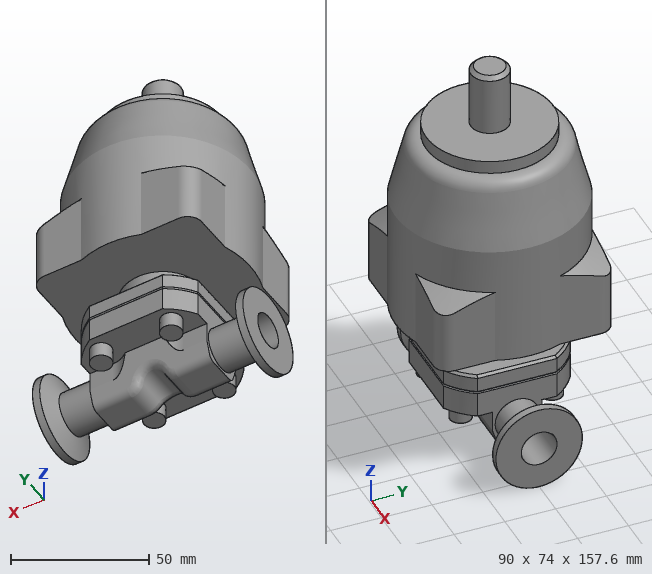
import cadquery as cq
import math


overall_height = 157.6
length = 90.0
bore_dia = 14.0
pipe_dia = 17.3
ferrule_dia = 34.0
ferrule_rim = 3.2
ferrule_cone = 3.0
bore_end_x = 11.0

plate_width = 50.0
plate_corner_dia = 59.0
plate_bottom_z = 5.7
plate_top_z = 15.6
diaphragm_thickness = 1.0
clamp_height = 6.8
clamp_chamfer = 1.0

body_bottom_z = -10.0
flank_lean = 18.0
flank_bottom_fillet = 3.3
notch_peak_z = -3.0
notch_crest_radius = 5.0
notch_foot_radius = 5.7

screw_dia = 8.5
screw_x = 15.0
screw_y = 18.0
screw_bottom_z = -0.5
pocket_wall_y = 9.8
pocket_radius = 10.0
pocket_bottom_z = -2.4

neck_dia = 33.0
neck_height = 12.8
housing_dia = 74.0
housing_height = 47.9
shoulder_height = 22.4
shoulder_top_dia = 62.7
shoulder_fillet = 5.7
lug_height = 30.3
lug_span = 69.5
lug_corner_radius = 6.0
lug_top_slope = 30.0
cap_dia = 50.0
cap_height = 5.2
stem_dia = 15.0
stem_top_z = overall_height - ferrule_dia / 2
stem_chamfer = 1.5

diaphragm_top_z = plate_top_z + diaphragm_thickness
clamp_top_z = diaphragm_top_z + clamp_height
housing_bottom_z = clamp_top_z + neck_height
shoulder_bottom_z = housing_bottom_z + housing_height
shoulder_taper = (housing_dia - shoulder_top_dia) / 2 / shoulder_height
rounding_height = shoulder_fillet * (1 - math.sin(math.atan(shoulder_taper)))
shell_top_z = shoulder_bottom_z + shoulder_height + rounding_height
cap_top_z = shell_top_z + cap_height


def disc(diameter, bottom_z, top_z):
    return cq.Workplane("XY").workplane(offset=bottom_z).circle(diameter / 2).extrude(top_z - bottom_z)


def trimmed_square(bottom_z, top_z):
    """Square plate whose corners are cut off by a circle around Z."""
    height = top_z - bottom_z
    square = cq.Workplane("XY").workplane(offset=bottom_z).rect(plate_width, plate_width).extrude(height)
    return square.intersect(disc(plate_corner_dia, bottom_z, top_z))


def weir_notch():
    """Hump-shaped groove along Y: a round crest that meets the bottom in two tangent foot arcs."""
    crest_z = notch_peak_z - notch_crest_radius
    foot_z = body_bottom_z + notch_foot_radius
    centre_distance = notch_crest_radius + notch_foot_radius
    foot_x = math.sqrt(centre_distance ** 2 - (foot_z - crest_z) ** 2)
    tangent_x = foot_x * notch_crest_radius / centre_distance
    tangent_z = crest_z + (foot_z - crest_z) * notch_crest_radius / centre_distance
    foot_start_angle = math.atan2(foot_z - crest_z, foot_x)
    foot_middle_angle = (foot_start_angle + math.pi / 2) / 2
    middle_x = foot_x - notch_foot_radius * math.cos(foot_middle_angle)
    middle_z = foot_z - notch_foot_radius * math.sin(foot_middle_angle)
    return (
        cq.Workplane("XZ")
        .moveTo(-foot_x, body_bottom_z)
        .threePointArc((-middle_x, middle_z), (-tangent_x, tangent_z))
        .threePointArc((0, notch_peak_z), (tangent_x, tangent_z))
        .threePointArc((middle_x, middle_z), (foot_x, body_bottom_z))
        .close()
        .extrude(plate_width / 2, both=True)
    )


def body_core():
    """Block under the plate: leaning flanks, a notched bottom and rounded lower edges."""
    lean = math.tan(math.radians(flank_lean))
    bottom_y = pocket_wall_y + (body_bottom_z - pocket_bottom_z) * lean
    top_y = pocket_wall_y + (plate_bottom_z - pocket_bottom_z) * lean
    core = (
        cq.Workplane("YZ")
        .polyline([
            (-bottom_y, body_bottom_z),
            (bottom_y, body_bottom_z),
            (top_y, plate_bottom_z),
            (-top_y, plate_bottom_z),
        ])
        .close()
        .extrude(plate_width / 2, both=True)
        .cut(weir_notch())
    )
    lower_flank_edges = core.faces("<Y or >Y").edges("(not >Z) and (not <X) and (not >X)")
    return lower_flank_edges.fillet(flank_bottom_fillet)


def screw_pocket(side_x, side_y):
    """Clearance round one screw: a straight wall that curves outward beside the screw."""
    bottom = cq.Workplane("XY").workplane(offset=body_bottom_z)
    depth = plate_bottom_z - body_bottom_z
    centre_y = side_y * (pocket_wall_y + pocket_radius)
    round_part = bottom.center(side_x * screw_x, centre_y).circle(pocket_radius).extrude(depth)
    open_length = plate_width / 2 - screw_x
    open_x = side_x * (screw_x + open_length / 2)
    open_part = bottom.center(open_x, centre_y).rect(open_length, 2 * pocket_radius).extrude(depth)
    return round_part.union(open_part)


def pipe_end():
    """Pipe stub with a tapered clamp ferrule, turned about X on the +X side."""
    end_x = length / 2
    rim_x = end_x - ferrule_rim
    cone_x = rim_x - ferrule_cone
    return (
        cq.Workplane("XZ")
        .polyline([
            (bore_end_x, 0),
            (bore_end_x, pipe_dia / 2),
            (cone_x, pipe_dia / 2),
            (rim_x, ferrule_dia / 2),
            (end_x, ferrule_dia / 2),
            (end_x, 0),
        ])
        .close()
        .revolve(360, (0, 0, 0), (1, 0, 0))
    )


def bore():
    depth = length / 2 - bore_end_x
    return cq.Workplane("YZ").workplane(offset=bore_end_x).circle(bore_dia / 2).extrude(depth)


def make_valve_body():
    body = body_core()
    for side_x in (-1, 1):
        for side_y in (-1, 1):
            body = body.cut(screw_pocket(side_x, side_y))
    body = body.union(trimmed_square(plate_bottom_z, plate_top_z))
    for side_x in (-1, 1):
        for side_y in (-1, 1):
            screw = disc(screw_dia, screw_bottom_z, plate_bottom_z)
            body = body.union(screw.translate((side_x * screw_x, side_y * screw_y, 0)))
    for turn in (0, 180):
        body = body.union(pipe_end().rotate((0, 0, 0), (0, 0, 1), turn))
        body = body.cut(bore().rotate((0, 0, 0), (0, 0, 1), turn))
    return body


def make_diaphragm():
    """Thin layer whose edge is bevelled at 45 degrees over its whole thickness, narrower at the bottom."""
    blank = trimmed_square(plate_top_z, clamp_top_z)
    bevelled = blank.faces("<Z").edges().chamfer(diaphragm_thickness)
    return bevelled.intersect(trimmed_square(plate_top_z, diaphragm_top_z))


def housing_shell():
    """Cylinder with a tapered shoulder whose top edge is rounded."""
    sharp_edge_radius = shoulder_top_dia / 2 - shoulder_taper * rounding_height
    shell = (
        cq.Workplane("XZ")
        .polyline([
            (0, housing_bottom_z),
            (housing_dia / 2, housing_bottom_z),
            (housing_dia / 2, shoulder_bottom_z),
            (sharp_edge_radius, shell_top_z),
            (0, shell_top_z),
        ])
        .close()
        .revolve()
    )
    return shell.faces(">Z").edges().fillet(shoulder_fillet)


def corner_lugs():
    """Rounded square block under a cone, which leaves a sloping lug at each corner."""
    block = (
        cq.Workplane("XY")
        .workplane(offset=housing_bottom_z)
        .rect(lug_span, lug_span)
        .extrude(lug_height)
        .edges("|Z")
        .fillet(lug_corner_radius)
    )
    lug_top_z = housing_bottom_z + lug_height
    cone_radius = lug_span / math.sqrt(2)
    cone_drop = (cone_radius - housing_dia / 2) * math.tan(math.radians(lug_top_slope))
    cone = (
        cq.Workplane("XZ")
        .polyline([
            (0, housing_bottom_z),
            (cone_radius, housing_bottom_z),
            (cone_radius, lug_top_z - cone_drop),
            (housing_dia / 2, lug_top_z),
            (0, lug_top_z),
        ])
        .close()
        .revolve()
    )
    return block.intersect(cone)


def make_actuator():
    clamp = trimmed_square(diaphragm_top_z, clamp_top_z).faces(">Z").edges().chamfer(clamp_chamfer)
    neck = disc(neck_dia, clamp_top_z, housing_bottom_z)
    cap = disc(cap_dia, shell_top_z, cap_top_z)
    stem = disc(stem_dia, cap_top_z, stem_top_z).faces(">Z").edges().chamfer(stem_chamfer)
    return clamp.union(neck).union(housing_shell()).union(corner_lugs()).union(cap).union(stem)


valve_body = make_valve_body()
diaphragm = make_diaphragm()
actuator = make_actuator()

result = cq.Compound.makeCompound([valve_body.val(), diaphragm.val(), actuator.val()])